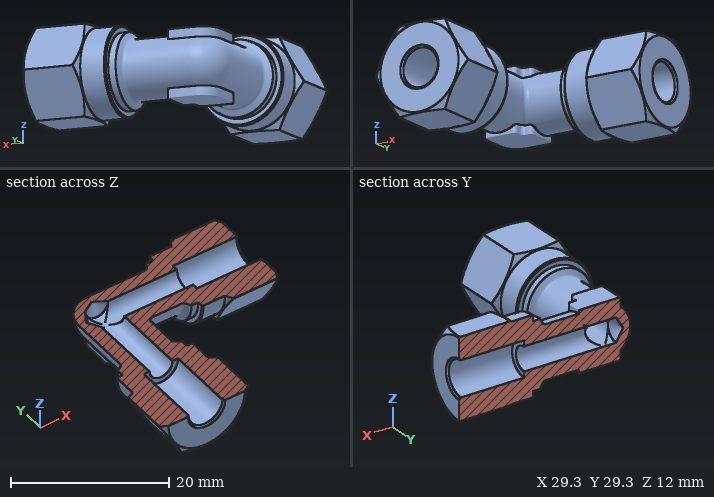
import cadquery as cq
import math


overall_length = 29.33
hex_flats = 12.0
hex_corners = hex_flats / math.cos(math.radians(30))
leg_length = overall_length - hex_corners / 2

pipe_radius = 8.0 / 2
shoulder_radius = 10.0 / 2
shoulder_cone_start = 9.33
cone_angle = 30.0
shoulder_fillet = 0.5
sleeve_radius = 5.9
sleeve_start = 10.95
sleeve_chamfer = 0.18

hex_start = 14.43
hex_chamfer_angle = 30.0
hex_end_radius = 5.9

socket_radius = 2.6
socket_depth = 10.0
socket_chamfer = 0.25
passage_radius = 1.75
drill_tip_angle = 118.0

pad_outer_side = 2.45
pad_inner_side = pipe_radius
pad_height = 9.0
pad_root = 2.35
pad_corner_radius = 0.5
pad_edge_fillet = 0.12
crotch_fillet = 0.5


def revolve_about_x(profile):
    """Revolve a closed (axial, radial) profile a full turn about the X axis."""
    return profile.close().revolve(360, (0, 0, 0), (1, 0, 0))


def both_legs(leg):
    """Join a leg along +X with its copy along -Y."""
    return leg.union(leg.rotate((0, 0, 0), (0, 0, 1), -90))


def elbow_core():
    """Two plain pipes joined by a ball at the corner."""
    pipe = cq.Workplane("YZ").circle(pipe_radius).extrude(hex_start)
    return both_legs(pipe).union(cq.Workplane("XY").sphere(pipe_radius))


def wrench_pads():
    """Flat pads above and below the elbow, each with a rounded outer and a notched inner corner."""
    outer, inner = pad_outer_side, pad_inner_side
    outline = (
        cq.Workplane("XY")
        .workplane(offset=pad_root)
        .moveTo(0, outer)
        .lineTo(inner, outer)
        .lineTo(inner, -outer)
        .lineTo(outer, -outer)
        .lineTo(outer, -inner)
        .lineTo(-outer, -inner)
        .lineTo(-outer, 0)
        .radiusArc((0, outer), outer)
        .close()
    )
    pad = outline.extrude(pad_height / 2 - pad_root)
    tangent_ends = "<(1, -1, 0)"
    pad = pad.edges("|Z").edges(f"not {tangent_ends}").fillet(pad_corner_radius)
    pad = pad.faces(">Z").edges().fillet(pad_edge_fillet)
    return pad.union(pad.mirror("XY"))


def round_crotch(body):
    """Round the mitre edges where the two pipes meet on the inside of the elbow."""
    inside = cq.selectors.BoxSelector(
        (pad_outer_side, -2 * pad_inner_side, -pipe_radius),
        (2 * pad_inner_side, -pad_outer_side, pipe_radius),
    )
    return body.edges("%ELLIPSE").edges(inside).fillet(crotch_fillet)


def turned_shoulder():
    """Shoulder cone with its blended root, then the chamfered sleeve behind the nut."""
    angle = math.radians(cone_angle)
    cone_end = shoulder_cone_start + (shoulder_radius - pipe_radius) * math.tan(angle)
    blend_length = shoulder_fillet * math.tan((math.pi / 2 - angle) / 2)
    blend_start = (shoulder_cone_start - blend_length, pipe_radius)
    blend_end = (
        shoulder_cone_start + blend_length * math.sin(angle),
        pipe_radius + blend_length * math.cos(angle),
    )
    profile = (
        cq.Workplane("XY")
        .moveTo(blend_start[0], 0)
        .lineTo(*blend_start)
        .radiusArc(blend_end, -shoulder_fillet)
        .lineTo(cone_end, shoulder_radius)
        .lineTo(sleeve_start, shoulder_radius)
        .lineTo(sleeve_start, sleeve_radius - sleeve_chamfer)
        .lineTo(sleeve_start + sleeve_chamfer, sleeve_radius)
        .lineTo(hex_start, sleeve_radius)
        .lineTo(hex_start, 0)
    )
    return revolve_about_x(profile)


def hex_nut():
    """Hexagon with flats facing up and down and both ends chamfered."""
    prism = (
        cq.Workplane("YZ")
        .workplane(offset=hex_start)
        .polygon(6, hex_corners)
        .extrude(leg_length - hex_start)
    )
    corner_radius = hex_corners / 2
    chamfer_length = (corner_radius - hex_end_radius) * math.tan(math.radians(hex_chamfer_angle))
    envelope = (
        cq.Workplane("XY")
        .moveTo(hex_start, 0)
        .lineTo(hex_start, hex_end_radius)
        .lineTo(hex_start + chamfer_length, corner_radius)
        .lineTo(leg_length - chamfer_length, corner_radius)
        .lineTo(leg_length, hex_end_radius)
        .lineTo(leg_length, 0)
    )
    return prism.intersect(revolve_about_x(envelope))


def leg_bore():
    """Chamfered tube socket, and a passage with a drill tip just past the crossing passage."""
    tip_length = passage_radius / math.tan(math.radians(drill_tip_angle / 2))
    socket_floor = leg_length - socket_depth
    profile = (
        cq.Workplane("XY")
        .moveTo(-passage_radius - tip_length, 0)
        .lineTo(-passage_radius, passage_radius)
        .lineTo(socket_floor, passage_radius)
        .lineTo(socket_floor, socket_radius)
        .lineTo(leg_length - socket_chamfer, socket_radius)
        .lineTo(leg_length, socket_radius + socket_chamfer)
        .lineTo(leg_length, 0)
    )
    return revolve_about_x(profile)


body = round_crotch(elbow_core().union(wrench_pads()))
body = body.union(both_legs(turned_shoulder().union(hex_nut())))
result = body.cut(both_legs(leg_bore()))